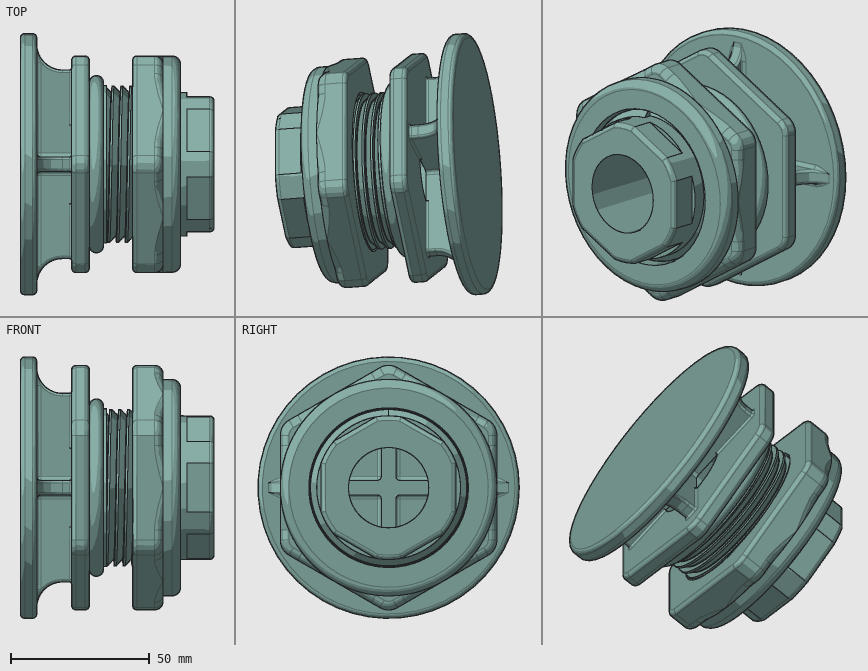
import cadquery as cq
import math

disc_thickness = 5.9
plate_start = 18.5
plate_end = 24.9
collar_end = 31.1
nut_start = 40.4
nut_shoulder = 51.45
nut_end = 57.8
flats_start = 60.0
spigot_end = 69.8

disc_diameter = 94.2
rib_thickness = 5.3
rib_span = 68.0
rib_edge_round = 0.9
rib_sweep_radius = 9.2
rib_foot_fillet = 1.4
rib_plate_fillet = 0.85
rib_corner_fillet = 1.4
bore_diameter = 28.9

hex_across_flats = 78.0
hex_corner_radius = 6.3
edge_fillet = 1.6

collar_diameter = 56.9
ring_inner_diameter = 53.8
ring_section = 5.1

spigot_diameter = 51.8
spigot_across_flats = 48.7
thread_diameter = 56.35
thread_pitch = 3.2
thread_start = 27.4
thread_turns = 8.5
thread_crest_width = 0.8
thread_base_width = 2.9
thread_embed = 0.2

nut_bore_diameter = 57.6
nut_round = 3.1
flange_radius = hex_across_flats / 2
blend_sections = 6


def cylinder(diameter, start, end):
    return cq.Workplane("YZ", origin=(start, 0, 0)).circle(diameter / 2).extrude(end - start)


def hexagon(across_flats, start, end):
    """Hexagonal prism along X with one pair of flats facing -Y and +Y."""
    across_corners = across_flats / math.cos(math.pi / 6)
    plane = cq.Workplane("YZ", origin=(start, 0, 0)).transformed(rotate=(0, 0, 90))
    return plane.polygon(6, across_corners).extrude(end - start)


def rounded_hexagon(start, end):
    return hexagon(hex_across_flats, start, end).edges("|X").fillet(hex_corner_radius)


def rib():
    """Flat rib in the XZ plane whose outer edges sweep outwards to meet the disc."""
    half_span = rib_span / 2
    tip = half_span + rib_sweep_radius
    sweep_end = disc_thickness + rib_sweep_radius
    arc_offset = rib_sweep_radius * math.sqrt(0.5)
    outline = (
        cq.Workplane("XZ")
        .moveTo(plate_start, -half_span)
        .lineTo(plate_start, half_span)
        .lineTo(sweep_end, half_span)
        .threePointArc((sweep_end - arc_offset, tip - arc_offset), (disc_thickness, tip))
        .lineTo(disc_thickness, -tip)
        .threePointArc((sweep_end - arc_offset, arc_offset - tip), (sweep_end, -half_span))
        .close()
    )
    plain_rib = outline.extrude(rib_thickness / 2, both=True)
    return plain_rib.faces("|Y").edges("not(<X or >X)").fillet(rib_edge_round)


def rib_cross():
    upright_rib = rib()
    cross = upright_rib.union(upright_rib.rotate((0, 0, 0), (1, 0, 0), 90))
    core = rib_thickness
    inner_corners = cq.selectors.BoxSelector((0, -core, -core), (plate_start, core, core))
    return cross.edges("|X").edges(inner_corners).fillet(rib_corner_fillet)


def fillet_rib_joint(body, x, max_radius, fillet_radius):
    """Fillet the edges in the plane at x that lie around the ribs, within max_radius of the axis.

    Round rims are left sharp: their centers lie on the axis itself.
    """
    tolerance = 0.01
    joint_edges = []
    for edge in body.edges("#X").vals():
        center = edge.Center()
        radius = math.hypot(center.y, center.z)
        if abs(center.x - x) < tolerance and tolerance < radius < max_radius:
            joint_edges.append(edge)
    return body.newObject(joint_edges).fillet(fillet_radius)


def diffuser():
    """Disc, ribs and hexagonal plate, with the mouth of the bore between the ribs."""
    cross = rib_cross()
    plate = rounded_hexagon(plate_start, plate_end).faces("<X or >X").edges().fillet(edge_fillet)
    disc = cylinder(disc_diameter, 0, disc_thickness).edges().fillet(edge_fillet)
    body = disc.union(plate).union(cross)
    flat_face_radius = hex_across_flats / 2 - edge_fillet
    body = fillet_rib_joint(body, plate_start, flat_face_radius, rib_plate_fillet)
    body = fillet_rib_joint(body, disc_thickness, disc_diameter / 2, rib_foot_fillet)
    mouth = cylinder(bore_diameter, plate_start - rib_plate_fillet, plate_end)
    return body.cut(mouth.cut(cross))


def thread():
    """Helical ridge, square on the -X side and sloping down to the spigot on the +X side."""
    crest_radius = thread_diameter / 2
    root_radius = spigot_diameter / 2
    inner_radius = root_radius - thread_embed
    slope = (thread_base_width - thread_crest_width) / (crest_radius - root_radius)
    inner_width = thread_base_width + slope * thread_embed
    helix = cq.Wire.makeHelix(thread_pitch, thread_turns * thread_pitch, root_radius, lefthand=True)
    ridge = (
        cq.Workplane("XZ")
        .moveTo(inner_radius, 0)
        .lineTo(crest_radius, 0)
        .lineTo(crest_radius, thread_crest_width)
        .lineTo(inner_radius, inner_width)
        .close()
        .sweep(helix, isFrenet=True)
    )
    return ridge.rotate((0, 0, 0), (0, 1, 0), 90).translate((thread_start, 0, 0))


def spigot():
    """Threaded tube with the ring groove at its root and six wrench flats at its free end."""
    tube = cylinder(spigot_diameter, plate_end, spigot_end)
    wrench_stock = cylinder(spigot_diameter, flats_start, spigot_end)
    tube = tube.cut(wrench_stock.cut(hexagon(spigot_across_flats, flats_start, spigot_end)))
    tube = tube.faces(">X").edges().fillet(edge_fillet)
    tube = tube.union(thread()).union(cylinder(collar_diameter, plate_end, collar_end))
    groove_end = plate_end + ring_section
    groove = cylinder(disc_diameter, plate_end, groove_end)
    tube = tube.cut(groove.cut(cylinder(ring_inner_diameter, plate_end, groove_end)))
    return tube.cut(cylinder(bore_diameter, plate_end, spigot_end))


def make_housing():
    return diffuser().union(spigot())


def make_ring():
    center_radius = (ring_inner_diameter + ring_section) / 2
    center_x = plate_end + ring_section / 2
    return (
        cq.Workplane("XY")
        .center(center_x, center_radius)
        .circle(ring_section / 2)
        .revolve(360, (-center_x, -center_radius), (0.9 - center_x, -center_radius))
    )


def blend_reach():
    """Distance from the middle of a flat to where the ledge is wide enough for the full round."""
    return math.sqrt(flange_radius**2 - (flange_radius - nut_round) ** 2)


def blend_section(z):
    """Section of a flat at height z, rounded so that it ends on the rim of the flange."""
    ledge = flange_radius - math.sqrt(flange_radius**2 - z**2)
    ledge = min(ledge, nut_round)
    rise = math.sqrt(nut_round**2 - (nut_round - ledge) ** 2)
    round_start = nut_shoulder - rise
    inner_y = nut_round - flange_radius
    diagonal = nut_round * math.sqrt(0.5)
    base_x = nut_shoulder - 2 * nut_round
    return (
        cq.Workplane("XY", origin=(0, 0, z))
        .moveTo(base_x, inner_y)
        .lineTo(base_x, -flange_radius)
        .lineTo(round_start, -flange_radius)
        .threePointArc((round_start + diagonal, inner_y - diagonal), (round_start + nut_round, inner_y))
        .close()
        .wires()
        .val()
    )


def flat_blend():
    """Material that lets the round at the shoulder fade out towards the middle of the -Y flat."""
    reach = blend_reach()
    sections = []
    for i in range(blend_sections):
        sections.append(blend_section(reach * i / (blend_sections - 1)))
    upper = cq.Workplane(cq.Solid.makeLoft(sections))
    trim = cylinder(2 * disc_diameter, nut_start, nut_shoulder)
    upper = upper.intersect(trim)
    return upper.union(upper.mirror("XY"))


def make_nut():
    nut = rounded_hexagon(nut_start, nut_shoulder)
    nut = nut.faces("<X").edges().fillet(edge_fillet)
    nut = nut.faces(">X").edges().fillet(nut_round)
    blend = flat_blend()
    for i in range(6):
        nut = nut.union(blend.rotate((0, 0, 0), (1, 0, 0), 60 * i))
    flange = cylinder(2 * flange_radius, nut_shoulder, nut_end).faces(">X").edges().fillet(nut_round)
    return nut.union(flange).cut(cylinder(nut_bore_diameter, nut_start, nut_end))


housing = make_housing()
ring = make_ring()
nut = make_nut()
result = cq.Compound.makeCompound([housing.solids().val(), ring.val(), nut.solids().val()])